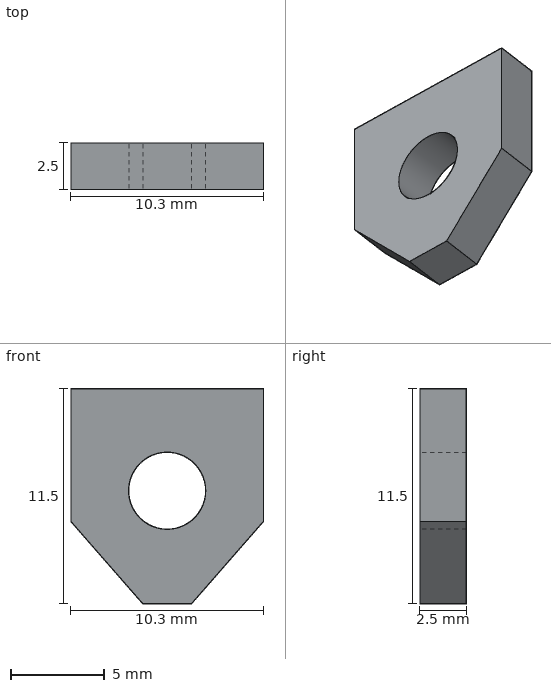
import cadquery as cq

width = 10.3
thickness = 2.5
height = 11.5

tip_width = 2.6
taper_height = 4.4

hole_diameter = 4.1
hole_height = 6.05

half_width = width / 2
half_tip = tip_width / 2

outline = [
    (-half_tip, 0),
    (half_tip, 0),
    (half_width, taper_height),
    (half_width, height),
    (-half_width, height),
    (-half_width, taper_height),
]

plate = cq.Workplane("XZ").polyline(outline).close().extrude(thickness)

hole = (
    cq.Workplane("XZ")
    .center(0, hole_height)
    .circle(hole_diameter / 2)
    .extrude(thickness)
)

result = plate.cut(hole)